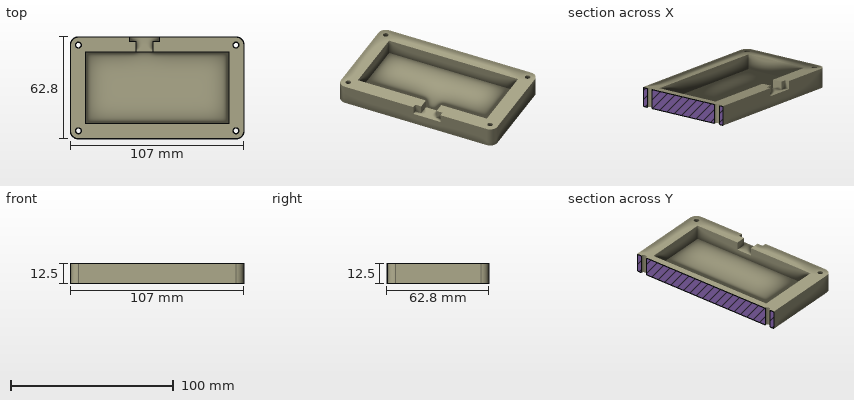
import cadquery as cq

length = 107.0
width = 62.8
height = 12.5
corner_radius = 5.0

wall = 9.4
floor_thickness = 3.0

hole_diameter = 3.4

notch_center_x = -7.7
notch_depth = 5.2
passage_width = 10.5
recess_width = 18.5
recess_reach = 2.8


def body():
    block = cq.Workplane("XY").box(length, width, height, centered=(True, True, False))
    return block.edges("|Z").fillet(corner_radius)


def pocket():
    return (
        cq.Workplane("XY", origin=(0, 0, floor_thickness))
        .rect(length - 2 * wall, width - 2 * wall)
        .extrude(height - floor_thickness)
    )


def screw_holes():
    return (
        cq.Workplane("XY")
        .rect(length - 2 * corner_radius, width - 2 * corner_radius, forConstruction=True)
        .vertices()
        .circle(hole_diameter / 2)
        .extrude(height)
    )


def back_wall_cut(cut_width, reach):
    """Cut open at the top, reaching inward from the back face."""
    return (
        cq.Workplane("XY", origin=(notch_center_x, width / 2 - reach / 2, height - notch_depth))
        .rect(cut_width, reach)
        .extrude(notch_depth)
    )


result = (
    body()
    .cut(pocket())
    .cut(screw_holes())
    .cut(back_wall_cut(passage_width, wall))
    .cut(back_wall_cut(recess_width, recess_reach))
)